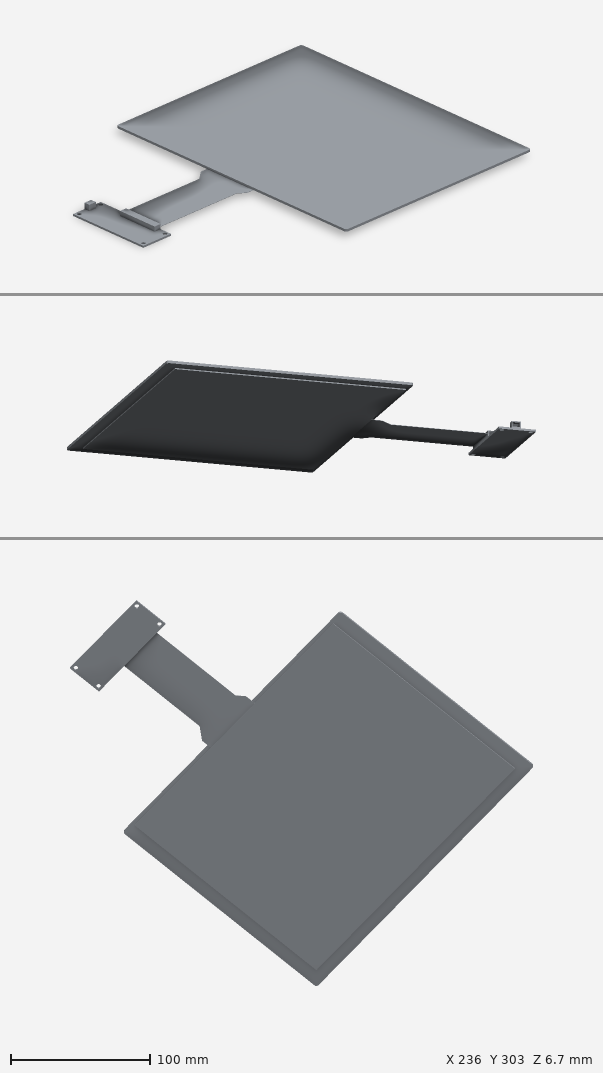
import cadquery as cq

total_height = 6.7
board_thickness = 1.6
glass_top = 5.8
glass_thickness = 2.0
glass_bottom = glass_top - glass_thickness

glass_width = 236.0
glass_length = 186.3
glass_corner_radius = 2.0

sensor_thickness = 1.0
sensor_side_margin = 10.3
sensor_front_margin = 2.5
sensor_back_margin = 9.5

total_length = 303.0
board_width = 72.0
board_length = 28.0
board_center_x = -7.5
board_left = board_center_x - board_width / 2
board_front = glass_length - total_length
board_back = board_front + board_length
board_center_y = board_front + board_length / 2
hole_diameter = 3.3
hole_inset = 3.0

cable_thickness = 0.3
cable_left = -17.5
cable_right = 18.0
cable_head_left = -25.0
cable_head_right = 22.5
head_front = -6.0
left_taper_front = -15.0
right_taper_front = -12.0
cable_insertion = 4.0

connector_depth = 6.0
connector_width = cable_right - cable_left

socket_depth = 4.8
socket_width = 6.7
socket_back_gap = 9.7
socket_center_y = board_back - socket_back_gap - socket_width / 2
socket_side_wall = 0.45
socket_flat_wall = 1.0
socket_opening_depth = 4.0


def box(x_start, x_size, y_start, y_size, z_start, z_size):
    """Block placed by its left, front, bottom corner."""
    corner = (x_start, y_start, z_start)
    return cq.Workplane("XY").box(x_size, y_size, z_size, centered=False).translate(corner)


def make_glass():
    glass = box(-glass_width / 2, glass_width, 0, glass_length, glass_bottom, glass_thickness)
    return glass.edges("|Z").fillet(glass_corner_radius)


def make_sensor():
    width = glass_width - 2 * sensor_side_margin
    length = glass_length - sensor_front_margin - sensor_back_margin
    bottom = glass_bottom - sensor_thickness
    return box(-width / 2, width, sensor_front_margin, length, bottom, sensor_thickness)


def make_cable():
    """Flat cable from the sensor's front edge into the connector slot."""
    tip = board_back - cable_insertion
    outline = [
        (cable_head_left, sensor_front_margin),
        (cable_head_right, sensor_front_margin),
        (cable_head_right, head_front),
        (cable_right, right_taper_front),
        (cable_right, tip),
        (cable_left, tip),
        (cable_left, left_taper_front),
        (cable_head_left, head_front),
    ]
    cable = cq.Workplane("XY").polyline(outline).close().extrude(cable_thickness)
    return cable.translate((0, 0, glass_bottom - cable_thickness))


def make_socket():
    """Hollow socket that opens to the left."""
    height = total_height - board_thickness
    front = socket_center_y - socket_width / 2
    shell = box(board_left, socket_depth, front, socket_width, board_thickness, height)
    opening = box(
        board_left, socket_opening_depth,
        front + socket_side_wall, socket_width - 2 * socket_side_wall,
        board_thickness + socket_flat_wall, height - 2 * socket_flat_wall,
    )
    return shell.cut(opening)


def make_board(cable):
    """Drilled board carrying the cable connector and the socket."""
    board = box(board_left, board_width, board_front, board_length, 0, board_thickness)
    hole_spacing_x = board_width - 2 * hole_inset
    hole_spacing_y = board_length - 2 * hole_inset
    holes = (
        cq.Workplane("XY")
        .center(board_center_x, board_center_y)
        .rect(hole_spacing_x, hole_spacing_y, forConstruction=True)
        .vertices()
        .circle(hole_diameter / 2)
        .extrude(board_thickness)
    )
    connector = box(
        cable_left, connector_width,
        board_back - connector_depth, connector_depth,
        board_thickness, glass_top - board_thickness,
    )
    slotted_connector = connector.cut(cable)
    return board.cut(holes).union(slotted_connector).union(make_socket())


glass = make_glass()
sensor = make_sensor()
cable = make_cable()
board = make_board(cable)

result = cq.Compound.makeCompound([glass.val(), sensor.val(), cable.val(), board.val()])